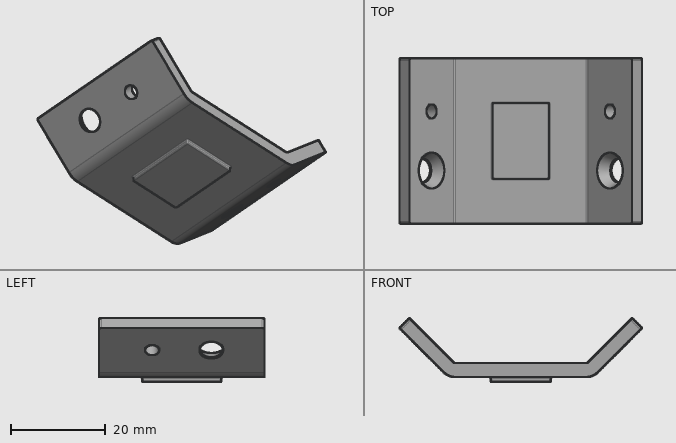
import cadquery as cq
import math

thickness = 3.0
sheet_length = 35.0
overall_width = 51.28
wing_height = 12.51
bend_angle = math.radians(45)
inner_bend_radius = 0.5
outer_bend_radius = inner_bend_radius + thickness
wing_corner_radius = 0.5

emboss_height = 1.0
boss_width = 12.7
boss_length = 16.7
pocket_width = 12.0
pocket_length = 16.0
panel_corner_radius = 0.3
pocket_rim_radius = 0.25
pocket_floor_radius = 0.2
boss_root_radius = 0.25
boss_edge_radius = 0.2
selection_margin = 0.01

hole_x = 18.83
hole_y = 6.25
pilot_diameter = 3.0
screw_diameter = 5.0
countersink_diameter = 7.6
countersink_depth = 2.6

sin_bend = math.sin(bend_angle)
cos_bend = math.cos(bend_angle)
tip_outer_x = overall_width / 2
tip_inner_x = tip_outer_x - thickness * sin_bend
tip_outer_z = wing_height - thickness * cos_bend
bend_center_z = outer_bend_radius
inner_tangent_z = bend_center_z - inner_bend_radius * cos_bend
wing_run = (wing_height - inner_tangent_z) / math.tan(bend_angle)
bend_center_x = tip_inner_x - wing_run - inner_bend_radius * sin_bend


def bend_point(radius, angle):
    """Point on the +X bend, with the angle measured from straight down."""
    return (
        bend_center_x + radius * math.sin(angle),
        bend_center_z - radius * math.cos(angle),
    )


def mirrored(point):
    """The same point on the -X half of the profile."""
    return (-point[0], point[1])


def bent_sheet():
    """Flat base with two wings bent upward, their free corners rounded."""
    outer = [bend_point(outer_bend_radius, bend_angle * step / 2) for step in range(3)]
    inner = [bend_point(inner_bend_radius, bend_angle * step / 2) for step in range(3)]
    tip_outer = (tip_outer_x, tip_outer_z)
    tip_inner = (tip_inner_x, wing_height)
    sheet = (
        cq.Workplane("XZ")
        .moveTo(*mirrored(outer[0]))
        .lineTo(*outer[0])
        .threePointArc(outer[1], outer[2])
        .lineTo(*tip_outer)
        .lineTo(*tip_inner)
        .lineTo(*inner[2])
        .threePointArc(inner[1], inner[0])
        .lineTo(*mirrored(inner[0]))
        .threePointArc(mirrored(inner[1]), mirrored(inner[2]))
        .lineTo(*mirrored(tip_inner))
        .lineTo(*mirrored(tip_outer))
        .lineTo(*mirrored(outer[2]))
        .threePointArc(mirrored(outer[1]), mirrored(outer[0]))
        .close()
        .extrude(sheet_length / 2, both=True)
    )
    for side in (-1, 1):
        toward_tip = cq.Vector(side * cos_bend, 0, sin_bend)
        through_wing = cq.Vector(side * sin_bend, 0, -cos_bend)
        end_face = sheet.faces(cq.selectors.DirectionMinMaxSelector(toward_tip))
        corners = end_face.edges(cq.selectors.ParallelDirSelector(through_wing))
        sheet = corners.fillet(wing_corner_radius)
    return sheet


def panel_block(width, length, height, bottom_z):
    """Rectangular block with rounded upright corners, centred on the Z axis."""
    block = cq.Workplane("XY").workplane(offset=bottom_z).rect(width, length).extrude(height)
    return block.edges("|Z").fillet(panel_corner_radius)


def panel_outline(width, length, level_z):
    """Selector for the edges of a panel outline lying at one level."""
    return cq.selectors.BoxSelector(
        (-width / 2 - selection_margin, -length / 2 - selection_margin, level_z - selection_margin),
        (width / 2 + selection_margin, length / 2 + selection_margin, level_z + selection_margin),
        boundingbox=True,
    )


def add_boss(body):
    """Raise the panel below the base, with a rounded edge and a filleted root."""
    boss = panel_block(boss_width, boss_length, emboss_height, -emboss_height)
    boss = boss.faces("<Z").edges().fillet(boss_edge_radius)
    body = body.union(boss)
    root = body.edges(panel_outline(boss_width, boss_length, 0))
    return root.fillet(boss_root_radius)


def cut_pocket(body):
    """Sink the panel into the top of the base, with a filleted floor and a rounded rim."""
    pocket = panel_block(pocket_width, pocket_length, emboss_height, thickness - emboss_height)
    pocket = pocket.faces("<Z").edges().fillet(pocket_floor_radius)
    body = body.cut(pocket)
    rim = body.edges(panel_outline(pocket_width, pocket_length, thickness))
    return rim.fillet(pocket_rim_radius)


def wing_hole_cutters(side):
    """Pilot hole and countersunk screw hole through the wing on one side."""
    into_wing = cq.Vector(side * sin_bend, 0, -cos_bend)
    hole_z = wing_height - (tip_inner_x - hole_x) * math.tan(bend_angle)
    pilot_mouth = cq.Vector(side * hole_x, hole_y, hole_z)
    screw_mouth = cq.Vector(side * hole_x, -hole_y, hole_z)
    pilot = cq.Solid.makeCylinder(pilot_diameter / 2, thickness, pilot_mouth, into_wing)
    screw = cq.Solid.makeCylinder(screw_diameter / 2, thickness, screw_mouth, into_wing)
    countersink = cq.Solid.makeCone(
        countersink_diameter / 2,
        screw_diameter / 2,
        countersink_depth,
        screw_mouth,
        into_wing,
    )
    return (pilot, screw, countersink)


result = cut_pocket(add_boss(bent_sheet()))
for wing_side in (-1, 1):
    for cutter in wing_hole_cutters(wing_side):
        result = result.cut(cq.Workplane(cutter))